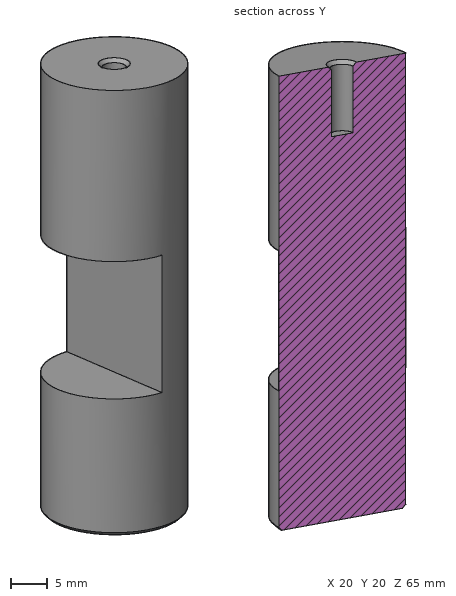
import cadquery as cq

length = 65.0
diameter = 20.0
bottom_chamfer = 0.5

notch_bottom = 20.0
notch_height = 20.0

hole_diameter = 3.3
hole_depth = 10.0
mouth_chamfer = 0.5


def make_pin():
    pin = cq.Workplane("XY").circle(diameter / 2).extrude(length)
    return pin.faces("<Z").chamfer(bottom_chamfer)


def make_notch():
    return (
        cq.Workplane("XY")
        .workplane(offset=notch_bottom)
        .center(0, -diameter / 2)
        .rect(2 * diameter, diameter)
        .extrude(notch_height)
    )


def make_hole():
    radius = hole_diameter / 2
    mouth_radius = radius + mouth_chamfer
    profile = [
        (0, length),
        (mouth_radius, length),
        (radius, length - mouth_chamfer),
        (radius, length - hole_depth),
        (0, length - hole_depth),
    ]
    return cq.Workplane("XZ").polyline(profile).close().revolve(360, (0, 0), (0, 1))


result = make_pin().cut(make_notch()).cut(make_hole())